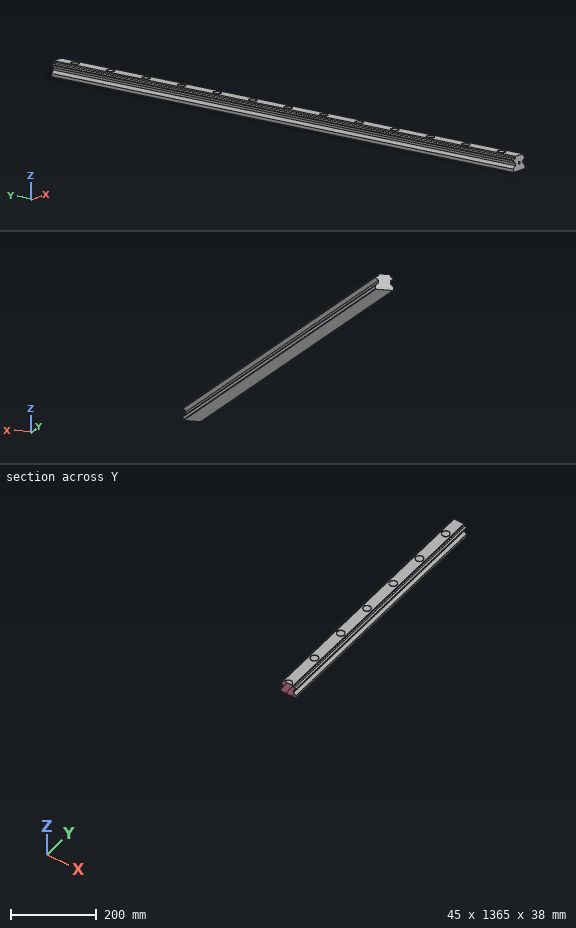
import cadquery as cq

length = 1365.0
width = 45.0
height = 38.0

top_width = 30.0
top_edge_width = 31.0
top_edge_height = 35.0
groove_bottom_width = 36.0
groove_bottom_height = 32.5
groove_sag = 1.2
head_land_top = 30.5
head_land_bottom = 28.5
lower_flank_width = 37.0
lower_flank_height = 24.5

waist_width = 30.5
waist_top = 21.0
waist_bottom = 15.5
base_height = 8.5
base_chamfer = 1.0

recess_count = 13
recess_pitch = 105.0
recess_diameter = 20.0
recess_depth = 1.0

end_hole_diameter = 6.0
end_hole_depth = 10.0
end_hole_height = height / 2


def make_rail():
    """Extrude the symmetric rail section along Y, centred on the origin in X and Y."""
    return (
        cq.Workplane("XZ", origin=(0, length / 2, 0))
        .moveTo(0, 0)
        .lineTo(width / 2 - base_chamfer, 0)
        .lineTo(width / 2, base_chamfer)
        .lineTo(width / 2, base_height)
        .lineTo(waist_width / 2, waist_bottom)
        .lineTo(waist_width / 2, waist_top)
        .lineTo(lower_flank_width / 2, lower_flank_height)
        .lineTo(width / 2, head_land_bottom)
        .lineTo(width / 2, head_land_top)
        .lineTo(groove_bottom_width / 2, groove_bottom_height)
        .sagittaArc((top_edge_width / 2, top_edge_height), groove_sag)
        .lineTo(top_width / 2, height)
        .lineTo(0, height)
        .mirrorY()
        .extrude(length)
    )


def cut_mounting_recesses(rail):
    """Cut the row of round mounting recesses into the top face."""
    first_recess = -(recess_count - 1) * recess_pitch / 2
    centres = [(0, first_recess + i * recess_pitch) for i in range(recess_count)]
    cutters = (
        cq.Workplane("XY", origin=(0, 0, height))
        .pushPoints(centres)
        .circle(recess_diameter / 2)
        .extrude(-recess_depth)
    )
    return rail.cut(cutters)


def cut_end_hole(rail):
    """Cut the blind hole into the end face on the -Y side."""
    cutter = (
        cq.Workplane("XZ", origin=(0, -length / 2, end_hole_height))
        .circle(end_hole_diameter / 2)
        .extrude(-end_hole_depth)
    )
    return rail.cut(cutter)


result = cut_end_hole(cut_mounting_recesses(make_rail()))